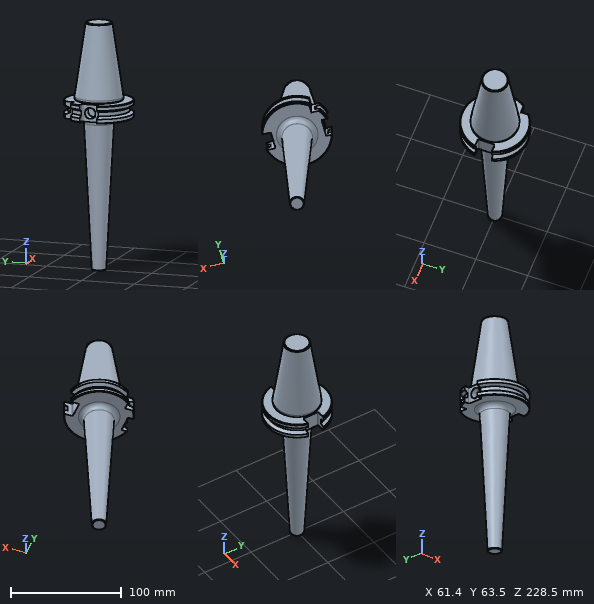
import cadquery as cq

total_length = 228.5
taper_length = 68.3
collar_length = 3.2
flange_thickness = 16.0
gauge_z = total_length - taper_length
flange_top_z = gauge_z - collar_length
flange_bottom_z = flange_top_z - flange_thickness

gauge_radius = 22.2
taper_ratio = 7 / 24
taper_top_radius = gauge_radius - taper_length * taper_ratio / 2
taper_top_chamfer = 1.0
collar_radius = 22.2
collar_chamfer = 1.0

flange_diameter = 63.5
flange_radius = flange_diameter / 2
flange_chamfer = 0.7
groove_floor_radius = 28.0
groove_floor_width = 3.9
groove_mouth_width = 8.0
groove_z = gauge_z - 11.2

shank_top_radius = 13.7
shank_tip_radius = 6.6
shank_tip_chamfer = 0.7
neck_fillet = 5.0

slot_width = 16.2
slot_corner_radius = 1.0
left_slot_floor = 25.1
right_slot_floor = 22.4
notch_x = 18.3
notch_y = 18.0
hole_diameter = 10.0
hole_depth = 9.1


def revolved_body():
    """Taper, collar, grooved flange and shank as one turned body."""
    neck_z = flange_bottom_z - neck_fillet
    arc_offset = neck_fillet * (1 - 0.5 ** 0.5)
    profile = (
        cq.Workplane("XZ")
        .lineTo(shank_tip_radius - shank_tip_chamfer, 0)
        .lineTo(shank_tip_radius, shank_tip_chamfer)
        .lineTo(shank_top_radius, neck_z)
        .threePointArc(
            (shank_top_radius + arc_offset, flange_bottom_z - arc_offset),
            (shank_top_radius + neck_fillet, flange_bottom_z),
        )
        .lineTo(flange_radius - flange_chamfer, flange_bottom_z)
        .lineTo(flange_radius, flange_bottom_z + flange_chamfer)
        .lineTo(flange_radius, groove_z - groove_mouth_width / 2)
        .lineTo(groove_floor_radius, groove_z - groove_floor_width / 2)
        .lineTo(groove_floor_radius, groove_z + groove_floor_width / 2)
        .lineTo(flange_radius, groove_z + groove_mouth_width / 2)
        .lineTo(flange_radius, flange_top_z - flange_chamfer)
        .lineTo(flange_radius - flange_chamfer, flange_top_z)
        .lineTo(collar_radius - collar_chamfer, flange_top_z)
        .lineTo(collar_radius, flange_top_z + collar_chamfer)
        .lineTo(gauge_radius, gauge_z)
        .lineTo(taper_top_radius, total_length - taper_top_chamfer)
        .lineTo(taper_top_radius - taper_top_chamfer, total_length)
        .lineTo(0, total_length)
        .close()
    )
    return profile.revolve(360, (0, 0, 0), (0, 1, 0))


def flange_cutter(x_inner, x_outer, y_low, y_high):
    """Block through the full flange thickness."""
    return (
        cq.Workplane("XY", origin=(0, 0, flange_bottom_z))
        .moveTo(x_inner, y_low)
        .lineTo(x_outer, y_low)
        .lineTo(x_outer, y_high)
        .lineTo(x_inner, y_high)
        .close()
        .extrude(flange_thickness)
    )


def drive_slot(floor_distance, side):
    """Slot cutter on the +X (side = 1) or -X (side = -1) rim, with rounded floor corners."""
    cutter = flange_cutter(side * floor_distance, side * flange_radius, -slot_width / 2, slot_width / 2)
    floor_face = "<X" if side > 0 else ">X"
    return cutter.faces(floor_face).edges("|Z").fillet(slot_corner_radius)


def slot_hole():
    """Blind round hole in the floor of the -X drive slot."""
    return (
        cq.Workplane("YZ", origin=(-left_slot_floor, 0, (flange_top_z + flange_bottom_z) / 2))
        .circle(hole_diameter / 2)
        .extrude(hole_depth)
    )


result = (
    revolved_body()
    .cut(drive_slot(left_slot_floor, -1))
    .cut(drive_slot(right_slot_floor, 1))
    .cut(flange_cutter(-flange_radius, -notch_x, notch_y, flange_radius))
    .cut(slot_hole())
)